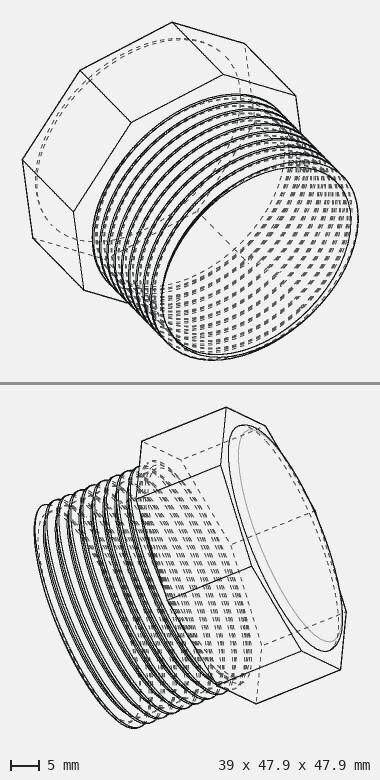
import cadquery as cq
import math

cap_height = 1.3
head_length = 16.4
shank_length = 21.3

head_sides = 8
head_across_flats = 46.0
head_turn = 6.5

thread_diameter = 41.95
root_diameter = 38.9
thread_turns = 9.2
crest_width = 0.45
flank_angle = 27.5
first_crest_offset = 1.05

head_start = cap_height
shank_start = head_start + head_length
thread_radius = thread_diameter / 2
root_radius = root_diameter / 2
thread_pitch = shank_length / thread_turns


def cylinder_along_x(start, length, radius):
    return cq.Workplane("YZ", origin=(start, 0, 0)).circle(radius).extrude(length)


def make_cap():
    """Disc whose outer rim is a full quarter round."""
    flat_radius = thread_radius - cap_height
    arc_reach = cap_height * math.sqrt(0.5)
    return (
        cq.Workplane("XY")
        .lineTo(0, flat_radius)
        .threePointArc((cap_height - arc_reach, flat_radius + arc_reach), (cap_height, thread_radius))
        .lineTo(cap_height, 0)
        .close()
        .revolve(360, (0, 0, 0), (1, 0, 0))
    )


def make_head():
    """Octagonal prism for the wrench."""
    half_side_angle = 180 / head_sides
    across_corners = head_across_flats / math.cos(math.radians(half_side_angle))
    return (
        cq.Workplane("YZ", origin=(head_start, 0, 0))
        .polygon(head_sides, across_corners)
        .extrude(head_length)
        .rotate((0, 0, 0), (1, 0, 0), half_side_angle + head_turn)
    )


def make_shank():
    return cylinder_along_x(shank_start, shank_length, root_radius)


def make_plug():
    return make_cap().union(make_head()).union(make_shank())


def make_thread():
    """Right-handed ridge wound on the shank, trimmed flush with both shank ends."""
    embed = 0.1
    inner_radius = root_radius - embed
    half_crest = crest_width / 2
    half_base = half_crest + (thread_radius - inner_radius) * math.tan(math.radians(flank_angle))

    sweep_start = shank_start + first_crest_offset - thread_pitch
    sweep_length = (math.ceil(thread_turns) + 1) * thread_pitch
    helix = cq.Wire.makeHelix(thread_pitch, sweep_length, root_radius)
    ridge = (
        cq.Workplane("XZ")
        .moveTo(inner_radius, -half_base)
        .lineTo(thread_radius, -half_crest)
        .lineTo(thread_radius, half_crest)
        .lineTo(inner_radius, half_base)
        .close()
        .sweep(cq.Workplane(obj=helix), isFrenet=True)
    )
    ridge = ridge.rotate((0, 0, 0), (0, 0, 1), 180)
    ridge = ridge.rotate((0, 0, 0), (0, 1, 0), 90).translate((sweep_start, 0, 0))

    band = (
        cq.Workplane("YZ", origin=(shank_start, 0, 0))
        .rect(head_across_flats, head_across_flats)
        .extrude(shank_length)
    )
    return ridge.intersect(band).cut(make_shank())


plug = make_plug()
thread = make_thread()

result = cq.Compound.makeCompound([plug.val(), *thread.solids().vals()])